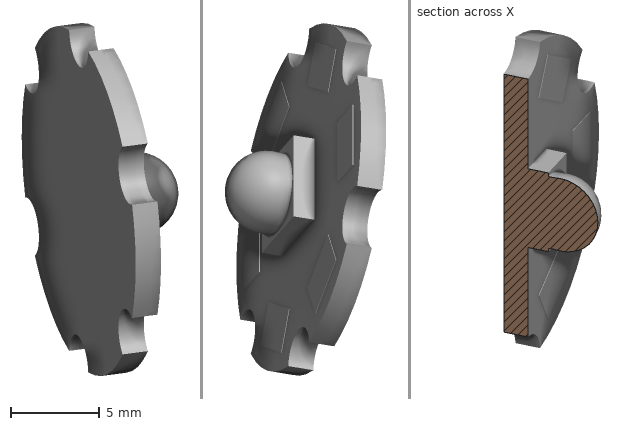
import cadquery as cq
import math

board_diameter = 20.0
board_thickness = 1.52
notch_count = 6
notch_diameter = 3.36
notch_pitch_radius = board_diameter / 2
notch_step = 360 / notch_count

pad_radial_width = 2.5
pad_tangential_length = 3.8
pad_thickness = 0.035
pad_pitch_radius = 7.5

overall_height = 5.84
led_side = 5.1
led_top = 2.79
dome_radius = 2.36
dome_center = overall_height - dome_radius
collar_top = 3.07
collar_radius = math.sqrt(dome_radius**2 - (dome_center - collar_top) ** 2)


def plane_at(height):
    """Workplane parallel to XZ at Y = height, with its normal along +Y."""
    return cq.Workplane(cq.Plane(origin=(0, height, 0), xDir=(1, 0, 0), normal=(0, 1, 0)))


def make_board():
    disc = plane_at(0).circle(board_diameter / 2).extrude(board_thickness)
    notches = (
        plane_at(0)
        .polarArray(notch_pitch_radius, notch_step / 2, 360, notch_count)
        .circle(notch_diameter / 2)
        .extrude(board_thickness)
    )
    return disc.cut(notches)


def make_pads():
    return (
        plane_at(board_thickness)
        .polarArray(pad_pitch_radius, 0, 360, notch_count)
        .rect(pad_radial_width, pad_tangential_length)
        .extrude(pad_thickness)
    )


def make_led_body():
    return plane_at(board_thickness).rect(led_side, led_side).extrude(led_top - board_thickness)


def make_lens():
    """Collar and dome, revolved about the Y axis."""
    return (
        cq.Workplane("XY")
        .moveTo(0, led_top)
        .lineTo(collar_radius, led_top)
        .lineTo(collar_radius, collar_top)
        .threePointArc((dome_radius, dome_center), (0, overall_height))
        .close()
        .revolve(360, (0, 0, 0), (0, 1, 0))
    )


result = make_board().union(make_pads()).union(make_led_body()).union(make_lens())